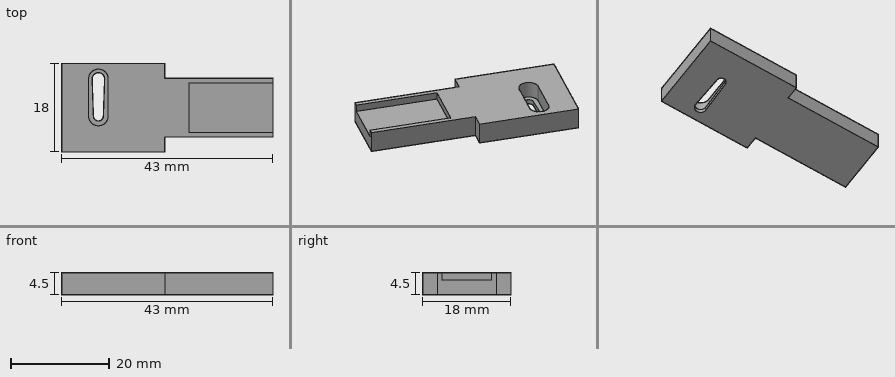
import cadquery as cq

total_length = 43.0
thickness = 4.5
plate_length = 21.0
plate_width = 18.0
tongue_width = 12.0

recess_length = 17.05
recess_width = 10.0
recess_depth = 1.5

slot_x = 7.5
slot_far_y = 5.85
slot_near_y = -1.68
pocket_width = 4.0
pocket_depth = 3.5
opening_far_radius = 1.25
opening_near_radius = 1.0


def block(start_x, end_x, width, bottom, top):
    """Box spanning the given X and Z limits, centred on Y = 0."""
    return cq.Workplane("XY").box(
        end_x - start_x, width, top - bottom, centered=(False, True, False)
    ).translate((start_x, 0, bottom))


def rounded_slot(far_radius, near_radius, bottom, top):
    """Slot along Y whose two end arcs are tangent to its straight sides."""
    spacing = slot_far_y - slot_near_y
    normal_y = (near_radius - far_radius) / spacing
    normal_x = (1 - normal_y**2) ** 0.5

    far_x = far_radius * normal_x
    far_y = slot_far_y - far_radius * normal_y
    near_x = near_radius * normal_x
    near_y = slot_near_y - near_radius * normal_y

    return (
        cq.Workplane("XY", origin=(slot_x, 0, bottom))
        .moveTo(near_x, near_y)
        .lineTo(far_x, far_y)
        .threePointArc((0, slot_far_y + far_radius), (-far_x, far_y))
        .lineTo(-near_x, near_y)
        .threePointArc((0, slot_near_y - near_radius), (near_x, near_y))
        .close()
        .extrude(top - bottom)
    )


plate = block(0, plate_length, plate_width, 0, thickness)
tongue = block(0, total_length, tongue_width, 0, thickness)

recess_floor = thickness - recess_depth
recess = block(total_length - recess_length, total_length, recess_width, recess_floor, thickness)

pocket_floor = thickness - pocket_depth
pocket_radius = pocket_width / 2
pocket = rounded_slot(pocket_radius, pocket_radius, pocket_floor, thickness)
opening = rounded_slot(opening_far_radius, opening_near_radius, 0, pocket_floor)

result = plate.union(tongue).cut(recess).cut(pocket).cut(opening)